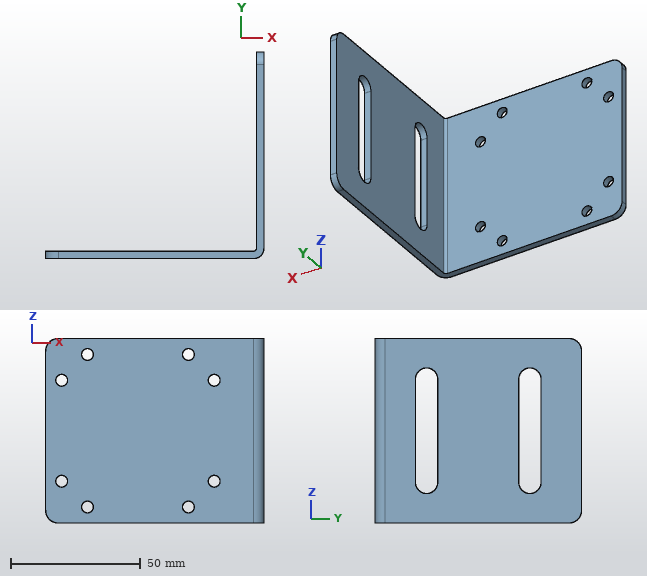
import cadquery as cq

length_x = 84.5
length_y = 80.0
height = 71.5

thickness = 2.95
bend_inner_radius = 1.0
bend_outer_radius = bend_inner_radius + thickness
corner_radius = 5.0

hole_diameter = 4.5
pattern_center_x = 35.75
hole_near_offset = 19.5
hole_far_offset = 29.5

slot_width = 8.5
slot_length = 48.5
first_slot_y = 20.0
slot_spacing = 40.0

mid_height = height / 2


def bent_sheet():
    """L-shaped sheet with its outer bend corner at (length_x, 0)."""
    outline = [
        (0, 0),
        (length_x, 0),
        (length_x, length_y),
        (length_x - thickness, length_y),
        (length_x - thickness, thickness),
        (0, thickness),
    ]
    sheet = cq.Workplane("XY").polyline(outline).close().extrude(height)
    inner_bend = cq.selectors.NearestToPointSelector((length_x - thickness, thickness, mid_height))
    outer_bend = cq.selectors.NearestToPointSelector((length_x, 0, mid_height))
    sheet = sheet.edges("|Z").edges(inner_bend).fillet(bend_inner_radius)
    sheet = sheet.edges("|Z").edges(outer_bend).fillet(bend_outer_radius)
    sheet = sheet.faces("<X").edges("|Y").fillet(corner_radius)
    return sheet.faces(">Y").edges("|X").fillet(corner_radius)


def front_holes():
    """Eight holes: every sign combination of (near, far) and (far, near)."""
    points = []
    for dx, dz in [(hole_near_offset, hole_far_offset), (hole_far_offset, hole_near_offset)]:
        for side in (-1, 1):
            for level in (-1, 1):
                points.append((pattern_center_x + side * dx, mid_height + level * dz))
    return cq.Workplane("XZ").pushPoints(points).circle(hole_diameter / 2).extrude(-thickness)


def side_slots():
    """Two round-ended vertical slots through the side flange."""
    centers = [(first_slot_y + i * slot_spacing, mid_height) for i in range(2)]
    plane = cq.Workplane("YZ", origin=(length_x - thickness, 0, 0))
    return plane.pushPoints(centers).slot2D(slot_length, slot_width, 90).extrude(thickness)


result = bent_sheet().cut(front_holes()).cut(side_slots())